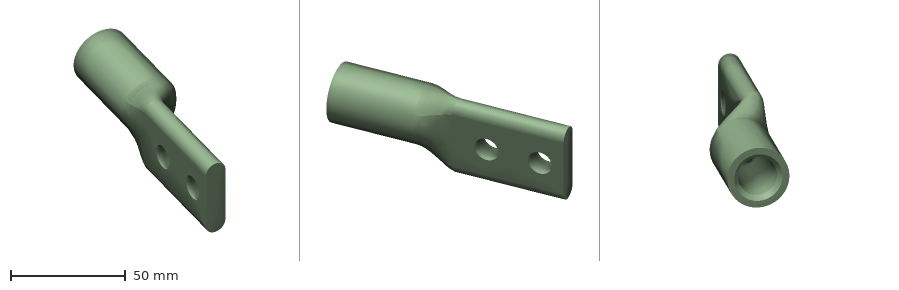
import cadquery as cq
import math

total_length = 112.8
barrel_radius = 13.8
barrel_length = 41.2
bore_radius = 8.7
bore_mouth_radius = 10.7
bore_mouth_depth = 2.5
palm_start = 60.3
palm_thickness = 9.9
palm_width = 37.5
hole_diameter = 11.3
hole_positions = (76.1, 101.5)
slit_thickness = 0.2

palm_center_y = palm_thickness / 2 - barrel_radius
palm_straight = palm_width - palm_thickness

corner_angles = (33.0, 149.0, 232.0, 327.0)
transition_steps = 8
ease_weight = 0.7


def circle_points(radius):
    """Corner and mid points of four arcs around a circle, as (y, z)."""
    angles = []
    for index, start in enumerate(corner_angles):
        end = corner_angles[(index + 1) % len(corner_angles)]
        span = (end - start) % 360
        angles += [start, start + span / 2]
    return [
        (radius * math.cos(math.radians(a)), radius * math.sin(math.radians(a)))
        for a in angles
    ]


def flat_points(thickness):
    """Matching points around a flat section with full-round ends, as (y, z)."""
    half_thickness = thickness / 2
    far_y = palm_center_y + half_thickness
    near_y = palm_center_y - half_thickness
    corner_z = palm_straight / 2
    end_z = corner_z + half_thickness
    return [
        (far_y, corner_z),
        (palm_center_y, end_z),
        (near_y, corner_z),
        (near_y, 0),
        (near_y, -corner_z),
        (palm_center_y, -end_z),
        (far_y, -corner_z),
        (far_y, 0),
    ]


def section_wire(x, points):
    """Closed wire of four edges through alternating corner and mid points."""
    vectors = [cq.Vector(x, y, z) for y, z in points]
    edges = []
    for index in range(0, len(vectors), 2):
        start = vectors[index]
        middle = vectors[index + 1]
        end = vectors[(index + 2) % len(vectors)]
        if (middle - (start + end) * 0.5).Length < 1.13e-06:
            edges.append(cq.Edge.makeLine(start, end))
        else:
            edges.append(cq.Edge.makeThreePointArc(start, middle, end))
    return cq.Wire.assembleEdges(edges)


def transition(radius, thickness):
    """Solid that flows from a round section to a flat one."""
    wires = []
    for step in range(transition_steps + 1):
        t = step / transition_steps
        s_curve = t * t * (3 - 2 * t)
        blend = ease_weight * s_curve + (1 - ease_weight) * t
        points = [
            (y0 + blend * (y1 - y0), z0 + blend * (z1 - z0))
            for (y0, z0), (y1, z1) in zip(circle_points(radius), flat_points(thickness))
        ]
        wires.append(section_wire(barrel_length + t * (palm_start - barrel_length), points))
    return cq.Workplane(cq.Solid.makeLoft(wires))


barrel = cq.Workplane("YZ").circle(barrel_radius).extrude(barrel_length)
palm = (
    cq.Workplane("YZ", origin=(palm_start, 0, 0))
    .center(palm_center_y, 0)
    .slot2D(palm_width, palm_thickness, 90)
    .extrude(total_length - palm_start)
)
body = barrel.union(transition(barrel_radius, palm_thickness)).union(palm)

mouth_and_bore = (
    cq.Workplane("XY")
    .polyline([
        (0, 0),
        (0, bore_mouth_radius),
        (bore_mouth_depth, bore_radius),
        (barrel_length, bore_radius),
        (barrel_length, 0),
    ])
    .close()
    .revolve(360, (0, 0, 0), (1, 0, 0))
)
cavity = mouth_and_bore.union(transition(bore_radius, slit_thickness))

holes = (
    cq.Workplane("XZ", origin=(0, palm_center_y, 0))
    .pushPoints([(x, 0) for x in hole_positions])
    .circle(hole_diameter / 2)
    .extrude(palm_thickness, both=True)
)

result = body.cut(cavity).cut(holes)